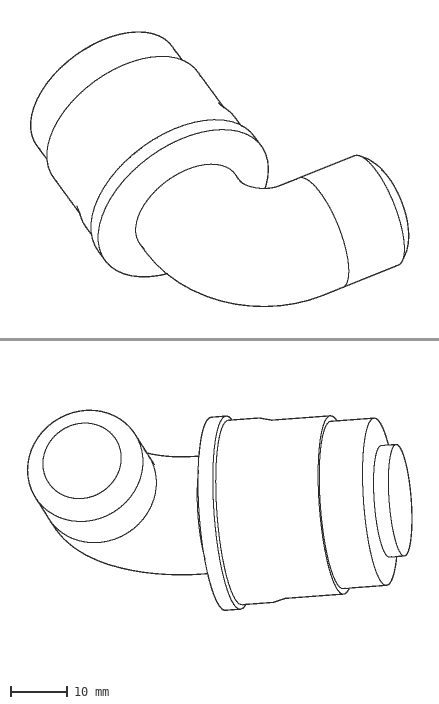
import cadquery as cq
import math

stub_length = 2.7
plug_cone_end = 3.6
sleeve_start = 11.5
taper_start = 22.25
taper_end = 24.5
flange_start = 30.0
flange_rim_start = 30.4
flange_end = 33.1
neck_start = 34.7

stub_radius = 9.95
plug_radius = 14.95
sleeve_radius = 15.9
sleeve_band_radius = 16.5
flange_radius = 34.5 / 2
flare_radius = 14.75

total_length = 61.5
pipe_radius = 10.5
bend_radius = 14.25
outlet_start = 18.1
outlet_end = 32.0
outlet_crown_height = 2.65
outlet_crown_middle_radius = 8.75
outlet_crown_middle_depth = 0.8
outlet_tip_radius = 7.15

outlet_axis_x = total_length - pipe_radius
bend_start = outlet_axis_x - bend_radius


def revolve_about_x(profile):
    """Turn a closed XY profile around the main axis."""
    return profile.close().revolve(360, (0, 0, 0), (1, 0, 0))


def make_plug():
    """Closing plug with a stub and a shallow conical shoulder."""
    profile = (
        cq.Workplane("XY")
        .lineTo(0, stub_radius)
        .lineTo(stub_length, stub_radius)
        .lineTo(plug_cone_end, plug_radius)
        .lineTo(sleeve_start, plug_radius)
        .lineTo(sleeve_start, 0)
    )
    return revolve_about_x(profile)


def make_sleeve():
    """Sleeve that tapers up to a wider band against the flange."""
    profile = (
        cq.Workplane("XY")
        .moveTo(sleeve_start, 0)
        .lineTo(sleeve_start, sleeve_radius)
        .lineTo(taper_start, sleeve_radius)
        .lineTo(taper_end, sleeve_band_radius)
        .lineTo(flange_start, sleeve_band_radius)
        .lineTo(flange_start, 0)
    )
    return revolve_about_x(profile)


def make_flange():
    """Bevelled flange whose back flares down to the neck of the elbow."""
    flare_width = neck_start - flange_end
    flare_height = flare_radius - pipe_radius
    arc_radius = (flare_width**2 + flare_height**2) / (2 * flare_width)
    half_angle = math.asin(flare_height / arc_radius) / 2
    flare_middle = (
        flange_end + arc_radius * (1 - math.cos(half_angle)),
        flare_radius - arc_radius * math.sin(half_angle),
    )
    profile = (
        cq.Workplane("XY")
        .moveTo(flange_start, 0)
        .lineTo(flange_start, sleeve_band_radius)
        .lineTo(flange_rim_start, flange_radius)
        .lineTo(flange_end, flange_radius)
        .lineTo(flange_end, flare_radius)
        .threePointArc(flare_middle, (neck_start, pipe_radius))
        .lineTo(neck_start, 0)
    )
    return revolve_about_x(profile)


def make_bent_pipe():
    """Solid neck, quarter bend toward +Y and short straight end."""
    neck = cq.Workplane("YZ", origin=(neck_start, 0, 0)).circle(pipe_radius).extrude(bend_start - neck_start)
    bend = (
        cq.Workplane("YZ", origin=(bend_start, 0, 0))
        .circle(pipe_radius)
        .revolve(90, (bend_radius, 0, 0), (bend_radius, 1, 0))
    )
    straight_end = (
        cq.Workplane("XZ", origin=(outlet_axis_x, bend_radius, 0))
        .circle(pipe_radius)
        .extrude(bend_radius - outlet_start)
    )
    return neck.union(bend).union(straight_end)


def make_elbow():
    """Flange and bent pipe in one piece."""
    return make_flange().union(make_bent_pipe())


def make_outlet():
    """Straight outlet whose free end is crowned by an arc meeting wall and tip at an angle."""
    return (
        cq.Workplane("XY", origin=(outlet_axis_x, 0, 0))
        .moveTo(0, outlet_start)
        .lineTo(pipe_radius, outlet_start)
        .lineTo(pipe_radius, outlet_end - outlet_crown_height)
        .threePointArc(
            (outlet_crown_middle_radius, outlet_end - outlet_crown_middle_depth),
            (outlet_tip_radius, outlet_end),
        )
        .lineTo(0, outlet_end)
        .close()
        .revolve(360, (0, 0, 0), (0, 1, 0))
    )


plug = make_plug()
sleeve = make_sleeve()
elbow = make_elbow()
outlet = make_outlet()

result = cq.Compound.makeCompound([plug.val(), sleeve.val(), elbow.val(), outlet.val()])